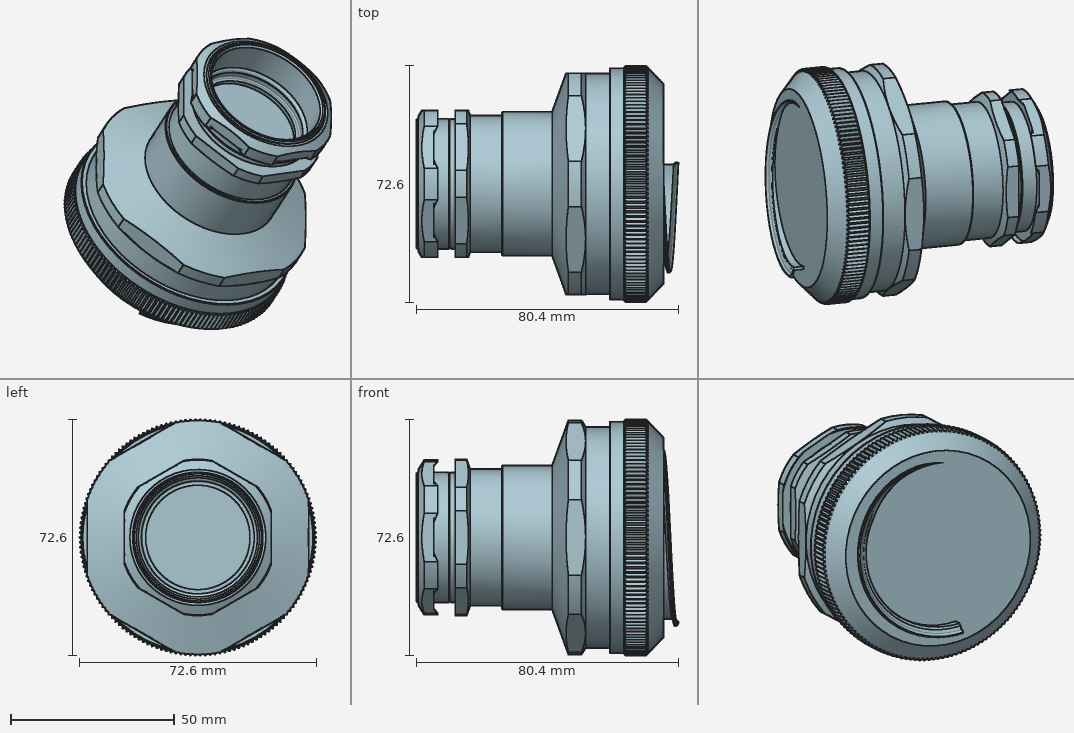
import cadquery as cq
import math

FRONT_LIP_END = 0.7
NUT_CHAMFER_END = 2.5
NUT_RECESS = 5.5
NUT_END = 6.7
NECK_END = 10.0
GROOVE_END = 10.4
SMALL_HEX_START = 12.0
SMALL_HEX_CHAMFER = 15.5
SMALL_HEX_END = 16.6
SLEEVE_STEP = 26.3
CONE_START = 41.7
BIG_HEX_START = 46.65
BIG_HEX_CHAMFER = 50.7
BIG_HEX_END = 51.95
RING_START = 59.3
KNURL_START = 63.6
KNURL_END = 71.1
CAP_FACE = 75.85
OVERALL_LENGTH = 80.4

NECK_R = 40.0 / 2
NUT_CORNER_R = 23.7
NUT_RIM_R = 20.8
NUT_RECESS_R = 23.0
SMALL_HEX_CORNER_R = 24.0
SLEEVE_R = 42.0 / 2
COLLAR_R = 44.2 / 2
BIG_HEX_CORNER_R = 35.9
DRUM_R = 67.8 / 2
RING_R = 71.0 / 2
KNURL_R = 36.3
CAP_FACE_R = 61.2 / 2

SMALL_FLATS = 45.05
BIG_FLATS = 67.9

RIM_CHAMFER = 0.5
GROOVE_DEPTH = 0.3
COLLAR_CHAMFER = 0.3
RING_CHAMFER = 0.25
KNURL_TEETH = 150
KNURL_EDGE = 0.65

BORE_R = 36.5 / 2
BORE_CHAMFER = 0.65
BORE_END = 10.3
BEAD_CREST_R = 17.3
BEAD_END = 11.5
BEAD_BULGE = 0.25
POCKET_START = 12.0
POCKET_R = 17.6
POCKET_FILLET = 0.5
SHOULDER = 14.0
SOCKET_R = 32.0 / 2
SOCKET_FLOOR = 15.3

LIP_WALL_R = 50.0 / 2
LIP_TIP_R = 27.2
LIP_WALL = 0.9
LIP_ROOT_DEPTH = 6.4
LIP_FLARE_DROP = 1.5
LIP_FLARE_R = 25.9
LIP_TIP_EDGE = 0.4
LIP_PITCH = 8.4
LIP_START = -10.0
LIP_END = 194.0


def revolve_x(outline):
    """Turn a closed (x, radius) outline about the X axis."""
    return outline.close().revolve(360, (0, 0, 0), (1, 0, 0))


def turned(points):
    """Solid of revolution about X under a polyline of (x, radius) points."""
    outline = cq.Workplane("XY").moveTo(points[0][0], 0)
    for x, radius in points:
        outline = outline.lineTo(x, radius)
    return revolve_x(outline.lineTo(points[-1][0], 0))


def hex_prism(flats, start, end):
    """Hexagonal prism along X with flats facing +Y and -Y."""
    across_corners = flats / math.cos(math.pi / 6)
    prism = cq.Workplane("YZ", origin=(start, 0, 0)).polygon(6, across_corners).extrude(end - start)
    return prism.rotate((0, 0, 0), (1, 0, 0), 90)


def hex_body(points, flats):
    """Turned blank trimmed by six flats."""
    return turned(points).intersect(hex_prism(flats, points[0][0], points[-1][0]))


def gland_nut():
    nut = hex_body(
        [
            (FRONT_LIP_END, NUT_RIM_R),
            (NUT_CHAMFER_END, NUT_CORNER_R),
            (NUT_END, NUT_CORNER_R),
        ],
        SMALL_FLATS,
    )
    recess = turned(
        [
            (NUT_RECESS, NUT_RECESS_R),
            (NUT_END, NUT_CORNER_R),
        ]
    )
    return nut.cut(recess)


def neck():
    """Round core of the gland nut with a groove and a rounded bead behind it."""
    groove_r = NECK_R - GROOVE_DEPTH
    bead_middle = (GROOVE_END + SMALL_HEX_START) / 2
    outline = (
        cq.Workplane("XY")
        .moveTo(0, 0)
        .lineTo(0, NECK_R - RIM_CHAMFER)
        .lineTo(RIM_CHAMFER, NECK_R)
        .lineTo(NECK_END, NECK_R)
        .lineTo(NECK_END, groove_r)
        .lineTo(GROOVE_END, groove_r)
        .threePointArc((bead_middle, NECK_R), (SMALL_HEX_START, groove_r))
        .lineTo(SMALL_HEX_START, 0)
    )
    return revolve_x(outline)


def small_hex():
    return hex_body(
        [
            (SMALL_HEX_START, SMALL_HEX_CORNER_R),
            (SMALL_HEX_CHAMFER, SMALL_HEX_CORNER_R),
            (SMALL_HEX_END, SLEEVE_R),
        ],
        SMALL_FLATS,
    )


def sleeve():
    return turned(
        [
            (SMALL_HEX_END, SLEEVE_R),
            (SLEEVE_STEP, SLEEVE_R),
            (SLEEVE_STEP, COLLAR_R - COLLAR_CHAMFER),
            (SLEEVE_STEP + COLLAR_CHAMFER, COLLAR_R),
            (CONE_START, COLLAR_R),
        ]
    )


def big_hex():
    return hex_body(
        [
            (CONE_START, COLLAR_R),
            (BIG_HEX_START, BIG_HEX_CORNER_R),
            (BIG_HEX_CHAMFER, BIG_HEX_CORNER_R),
            (BIG_HEX_END, DRUM_R),
        ],
        BIG_FLATS,
    )


def drum():
    return turned(
        [
            (BIG_HEX_END, DRUM_R),
            (RING_START, DRUM_R),
            (RING_START, RING_R - RING_CHAMFER),
            (RING_START + RING_CHAMFER, RING_R),
            (KNURL_END, RING_R),
            (CAP_FACE, CAP_FACE_R),
        ]
    )


def knurl():
    """Toothed band, bevelled at both ends down to the ring surface."""
    points = []
    for i in range(2 * KNURL_TEETH):
        radius = KNURL_R if i % 2 == 0 else RING_R
        angle = i * math.pi / KNURL_TEETH
        points.append((radius * math.cos(angle), radius * math.sin(angle)))
    teeth = (
        cq.Workplane("YZ", origin=(KNURL_START, 0, 0))
        .polyline(points)
        .close()
        .extrude(KNURL_END - KNURL_START)
    )
    bevels = turned(
        [
            (KNURL_START, RING_R),
            (KNURL_START + KNURL_EDGE, KNURL_R),
            (KNURL_END - (KNURL_R - RING_R), KNURL_R),
            (KNURL_END, RING_R),
        ]
    )
    return teeth.intersect(bevels)


def bore():
    """Stepped blind bore with a rounded seal bead and a filleted shoulder behind it."""
    bead_middle = (
        (BORE_END + BEAD_END) / 2 - BEAD_BULGE,
        (BORE_R + BEAD_CREST_R) / 2 - BEAD_BULGE,
    )
    fillet_start = (SHOULDER - POCKET_FILLET, POCKET_R)
    fillet_end = (SHOULDER, POCKET_R - POCKET_FILLET)
    outline = (
        cq.Workplane("XY")
        .moveTo(0, 0)
        .lineTo(0, BORE_R + BORE_CHAMFER)
        .lineTo(BORE_CHAMFER, BORE_R)
        .lineTo(BORE_END, BORE_R)
        .threePointArc(bead_middle, (BEAD_END, BEAD_CREST_R))
        .lineTo(POCKET_START, POCKET_R)
        .lineTo(*fillet_start)
        .tangentArcPoint(fillet_end, relative=False)
        .lineTo(SHOULDER, SOCKET_R)
        .lineTo(SOCKET_FLOOR, SOCKET_R)
        .lineTo(SOCKET_FLOOR, 0)
    )
    return revolve_x(outline)


def spiral_lip():
    """Flared lip that climbs out of the cap face along a right-handed helix."""
    turn = LIP_END - LIP_START
    rise = LIP_PITCH * turn / 360
    path = cq.Workplane(cq.Wire.makeHelix(LIP_PITCH, rise, LIP_WALL_R))
    inner_r = LIP_WALL_R - LIP_WALL
    lip = (
        cq.Workplane("XZ")
        .moveTo(inner_r, -LIP_ROOT_DEPTH)
        .lineTo(LIP_WALL_R, -LIP_ROOT_DEPTH)
        .lineTo(LIP_WALL_R, -LIP_FLARE_DROP)
        .lineTo(LIP_TIP_R, -LIP_WALL)
        .lineTo(LIP_TIP_R, -LIP_TIP_EDGE)
        .lineTo(LIP_TIP_R - LIP_TIP_EDGE, 0)
        .lineTo(LIP_FLARE_R, -LIP_FLARE_DROP / 2)
        .lineTo(inner_r, -LIP_FLARE_DROP)
        .close()
        .sweep(path, isFrenet=True)
    )
    lip = lip.rotate((0, 0, 0), (1, 1, 1), 120)
    lip = lip.rotate((0, 0, 0), (1, 0, 0), 90 + LIP_START)
    return lip.translate((OVERALL_LENGTH - rise, 0, 0))


result = gland_nut()
for piece in (neck(), small_hex(), sleeve(), big_hex(), drum(), knurl(), spiral_lip()):
    result = result.union(piece)
result = result.cut(bore())